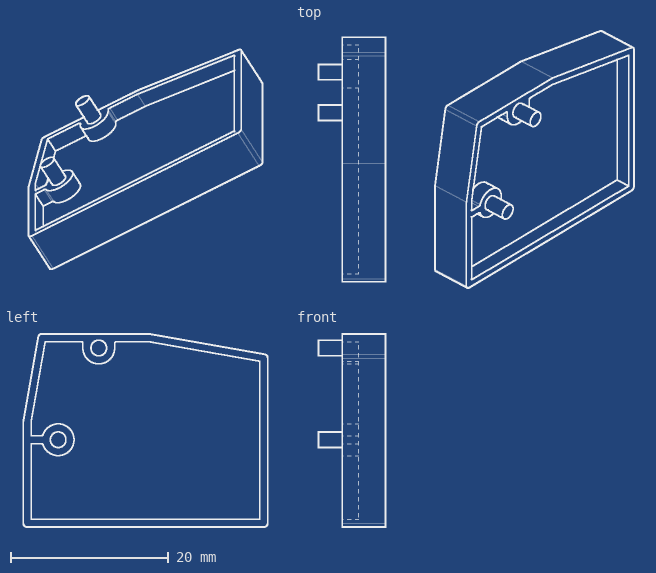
import cadquery as cq
import math

length = 31.0
height = 24.5
body_depth = 5.5
wall = 1.0
pocket_depth = 2.0
corner_radius = 0.5

slope = math.tan(math.radians(10))
top_break_y = 15.05
side_break_z = 13.35

pin_radius = 1.0
pin_length = 3.0
boss_radius = 2.0
top_pin_y = 21.42
top_pin_z = 22.7
side_pin_y = 26.57
side_pin_z = 11.07
rib_width = 1.0
blend_radius = 0.25
blend_search = 0.3

outline = [
    (0, 0),
    (length, 0),
    (length, side_break_z),
    (length - (height - side_break_z) * slope, height),
    (top_break_y, height),
    (0, height - top_break_y * slope),
]
rounded_corners = [outline[0], outline[1], outline[3], outline[5]]


def cylinder(y, z, radius, x_start, depth):
    """Cylinder along +X, starting at x_start."""
    return cq.Workplane("YZ", origin=(x_start, y, z)).circle(radius).extrude(depth)


def block(y_min, y_max, z_min, z_max):
    """Block that fills the pocket depth."""
    return cq.Workplane("XY").box(
        pocket_depth, y_max - y_min, z_max - z_min, centered=False
    ).translate((0, y_min, z_min))


def round_edge(solid, y, z, radius):
    """Fillet the edge parallel to X near (y, z)."""
    picker = cq.selectors.BoxSelector(
        (-blend_search, y - blend_search, z - blend_search),
        (body_depth + blend_search, y + blend_search, z + blend_search),
    )
    return solid.edges("|X").edges(picker).fillet(radius)


body = cq.Workplane("YZ").polyline(outline).close().extrude(body_depth)
for corner_y, corner_z in rounded_corners:
    body = round_edge(body, corner_y, corner_z, corner_radius)

pocket_profile = cq.Workplane("YZ").polyline(outline).close().offset2D(-wall, "intersection")
pocket = pocket_profile.extrude(pocket_depth)
body = body.cut(pocket)

ceiling_z = height - wall
top_boss = cylinder(top_pin_y, top_pin_z, boss_radius, 0, pocket_depth)
body = body.union(top_boss.intersect(pocket))
body = body.union(
    block(top_pin_y - boss_radius, top_pin_y + boss_radius, top_pin_z, height - wall / 2)
)
for side in (-1, 1):
    body = round_edge(body, top_pin_y + side * boss_radius, ceiling_z, blend_radius)

rib_half = rib_width / 2
body = body.union(cylinder(side_pin_y, side_pin_z, boss_radius, 0, pocket_depth))
body = body.union(
    block(side_pin_y, length - wall / 2, side_pin_z - rib_half, side_pin_z + rib_half)
)
rib_joint_y = side_pin_y + math.sqrt(boss_radius**2 - rib_half**2)
for side in (-1, 1):
    body = round_edge(body, rib_joint_y, side_pin_z + side * rib_half, blend_radius)

for pin_y, pin_z in [(top_pin_y, top_pin_z), (side_pin_y, side_pin_z)]:
    pin = cylinder(pin_y, pin_z, pin_radius, -pin_length, pin_length + pocket_depth)
    body = body.union(pin)

result = body